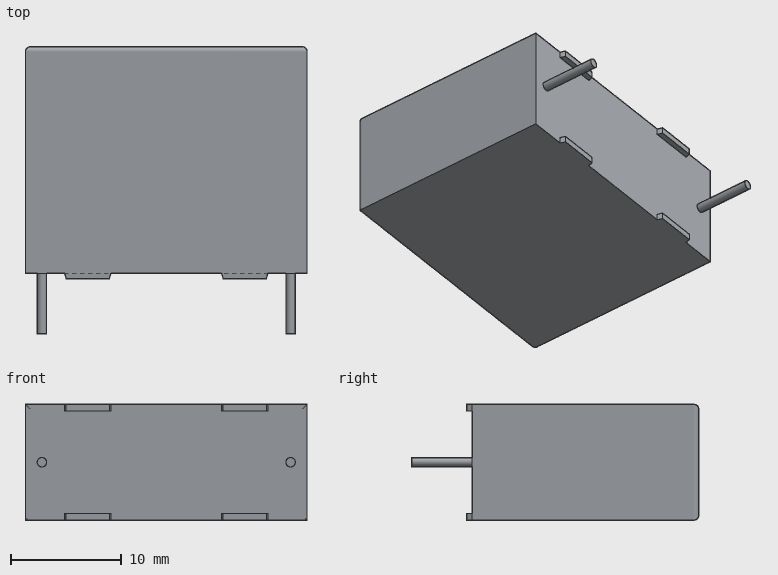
import cadquery as cq

overall_depth = 26.0

housing_length = 25.5
housing_height = 10.5
housing_depth = 20.51
rear_edge_radius = 0.5

foot_base_width = 4.2
foot_tip_width = 3.9
foot_projection = 0.5
foot_height = 0.62
foot_spacing = 14.2

lead_length = overall_depth - housing_depth
lead_diameter = 0.85
lead_spacing = 22.5


def make_foot(center_x, bottom_z):
    """Foot that stands on the lead face and narrows towards its tip."""
    return (
        cq.Workplane("XY", origin=(center_x, 0, bottom_z))
        .moveTo(-foot_base_width / 2, 0)
        .lineTo(-foot_tip_width / 2, -foot_projection)
        .lineTo(foot_tip_width / 2, -foot_projection)
        .lineTo(foot_base_width / 2, 0)
        .close()
        .extrude(foot_height)
    )


def make_housing():
    """Box with rounded rear edges and four feet on the lead face."""
    body = (
        cq.Workplane("XY")
        .box(housing_length, housing_depth, housing_height, centered=(True, False, True))
        .faces(">Y")
        .edges()
        .fillet(rear_edge_radius)
    )
    for side in (-1, 1):
        center_x = side * foot_spacing / 2
        for bottom_z in (-housing_height / 2, housing_height / 2 - foot_height):
            body = body.union(make_foot(center_x, bottom_z))
    return body


def make_lead(center_x):
    """Round wire lead that starts on the lead face and points towards -Y."""
    return (
        cq.Workplane("XZ", origin=(center_x, 0, 0))
        .circle(lead_diameter / 2)
        .extrude(lead_length)
    )


housing = make_housing()
leads = [make_lead(side * lead_spacing / 2) for side in (-1, 1)]

result = cq.Compound.makeCompound([housing.val(), *[lead.val() for lead in leads]])